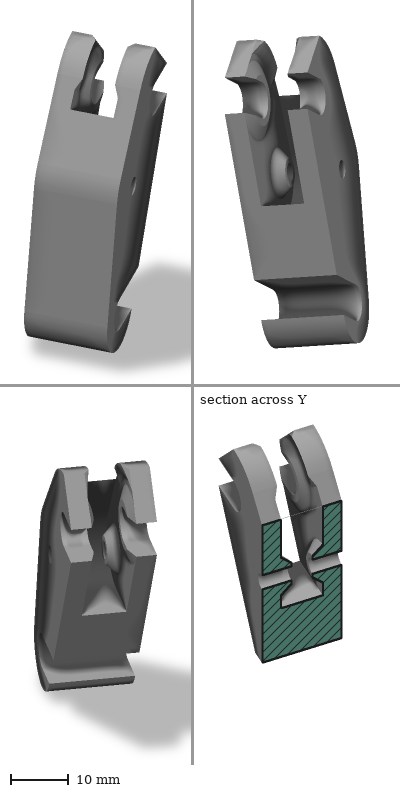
import cadquery as cq
import math

width = 15.2
hook_slot_radius = 3.2

lower_hook = (0, 0)
lower_radius = 7.0
upper_hook = (19.0, 33.0)
upper_radius = 10.75
pin = (7.1, 22.3)
knee_radius = 9.0
pin_hole_radius = 1.65

tip_reach = 6.25
lower_mouth_y = 9.95

pocket_half_width = 3.95
pocket_radius = 7.45
pocket_mouth = (7.15, 35.85)
past_part = 30.5

lip_half_gap = 2.95
lip_inner_radius = 8.15
lip_end_run = 2.2

hook_boss_half_gap = 2.95
hook_boss_top_radius = 4.45
hook_boss_base_radius = 7.0
pin_boss_half_gap = 2.0
pin_boss_top_radius = 2.55
pin_boss_base_radius = 4.5


def on_circle(center, radius, angle):
    return (center[0] + radius * math.cos(angle), center[1] + radius * math.sin(angle))


def tangent_angle(center_a, radius_a, center_b, radius_b):
    """Direction of the shared normal of the outer tangent on the -Y side, from a up to b."""
    dy = center_b[0] - center_a[0]
    dz = center_b[1] - center_a[1]
    lean = math.asin((radius_a - radius_b) / math.hypot(dy, dz))
    return math.atan2(dz, dy) + math.pi / 2 - lean


def prism(profile, half_width):
    return profile.extrude(half_width, both=True)


def body():
    lower_normal = tangent_angle(lower_hook, lower_radius, pin, knee_radius)
    upper_normal = tangent_angle(pin, knee_radius, upper_hook, upper_radius)
    knee_middle = (lower_normal + upper_normal) / 2
    top_angle = math.pi / 2
    hook_tip = on_circle(lower_hook, lower_radius, -math.asin(hook_slot_radius / lower_radius))
    tip_y = upper_hook[0] + tip_reach
    profile = (
        cq.Workplane("YZ")
        .moveTo(*hook_tip)
        .threePointArc(
            on_circle(lower_hook, lower_radius, -math.pi / 2),
            on_circle(lower_hook, lower_radius, lower_normal),
        )
        .lineTo(*on_circle(pin, knee_radius, lower_normal))
        .threePointArc(
            on_circle(pin, knee_radius, knee_middle),
            on_circle(pin, knee_radius, upper_normal),
        )
        .lineTo(*on_circle(upper_hook, upper_radius, upper_normal))
        .threePointArc(
            on_circle(upper_hook, upper_radius, (upper_normal + top_angle) / 2),
            on_circle(upper_hook, upper_radius, top_angle),
        )
        .lineTo(tip_y, upper_hook[1] + hook_slot_radius)
        .lineTo(tip_y, upper_hook[1] - hook_slot_radius)
        .lineTo(lower_mouth_y, hook_slot_radius)
        .lineTo(lower_mouth_y, -hook_slot_radius)
        .close()
    )
    return prism(profile, width / 2)


def hook_slot(center):
    """Round-ended slot open towards +Y."""
    y, z = center
    profile = (
        cq.Workplane("YZ")
        .moveTo(y + past_part, z + hook_slot_radius)
        .lineTo(y, z + hook_slot_radius)
        .threePointArc((y - hook_slot_radius, z), (y, z - hook_slot_radius))
        .lineTo(y + past_part, z - hook_slot_radius)
        .close()
    )
    return prism(profile, width)


def pocket():
    """Central pocket: flat floor, round about the pin, straight up to its mouth."""
    mouth_dy = pocket_mouth[0] - pin[0]
    mouth_dz = pocket_mouth[1] - pin[1]
    mouth_distance = math.hypot(mouth_dy, mouth_dz)
    wall_normal = math.atan2(mouth_dz, mouth_dy) + math.acos(pocket_radius / mouth_distance)
    floor_angle = 3 * math.pi / 2
    profile = (
        cq.Workplane("YZ")
        .moveTo(*pocket_mouth)
        .lineTo(*on_circle(pin, pocket_radius, wall_normal))
        .threePointArc(
            on_circle(pin, pocket_radius, (wall_normal + floor_angle) / 2),
            on_circle(pin, pocket_radius, floor_angle),
        )
        .lineTo(pin[0] + past_part, pin[1] - pocket_radius)
        .lineTo(pin[0] + past_part, pin[1] + past_part)
        .lineTo(pocket_mouth[0], pin[1] + past_part)
        .close()
    )
    return prism(profile, pocket_half_width)


def lip_end(side, angle, base_reach, top_reach):
    """Half space for the lip, ended by a slope that faces along the given YZ direction."""
    return (
        cq.Workplane("XZ")
        .polyline([
            (side * pocket_half_width, base_reach),
            (side * lip_half_gap, top_reach),
            (side * lip_half_gap, -past_part),
            (side * pocket_half_width, -past_part),
        ])
        .close()
        .extrude(past_part, both=True)
        .rotate((0, 0, 0), (1, 0, 0), math.degrees(angle) - 90)
        .translate((0, *upper_hook))
    )


def lip(side):
    """Thicker rim of one cheek: conical inside, with a sloping face at each end."""
    ring = (
        cq.Workplane("XZ")
        .polyline([
            (side * pocket_half_width, lip_inner_radius),
            (side * lip_half_gap, upper_radius),
            (side * lip_half_gap, past_part),
            (side * pocket_half_width, past_part),
        ])
        .close()
        .revolve(360, (0, 0), (1, 0))
        .translate((0, *upper_hook))
    )
    tip_normal = math.atan2(tip_reach, upper_radius - hook_slot_radius)
    tip_distance = upper_radius * math.sin(tip_normal)
    tip_bevel = pocket_half_width - lip_half_gap
    tip_end = lip_end(side, tip_normal, tip_distance, tip_distance - tip_bevel)
    down_front_face = tangent_angle(pin, knee_radius, upper_hook, upper_radius) + math.pi / 2
    lower_end = lip_end(side, down_front_face, lip_end_run, 0)
    return ring.intersect(tip_end).intersect(lower_end)


def boss(center, side, half_gap, base_radius, top_radius):
    """Conical boss standing on one pocket wall and facing the middle."""
    height = pocket_half_width - half_gap
    base = cq.Vector(side * pocket_half_width, *center)
    return cq.Workplane(
        cq.Solid.makeCone(base_radius, top_radius, height, base, cq.Vector(-side, 0, 0))
    )


pocket_cutter = pocket()
for side in (-1, 1):
    pocket_cutter = (
        pocket_cutter
        .cut(lip(side))
        .cut(boss(upper_hook, side, hook_boss_half_gap, hook_boss_base_radius, hook_boss_top_radius))
        .cut(boss(pin, side, pin_boss_half_gap, pin_boss_base_radius, pin_boss_top_radius))
    )

pin_hole = prism(cq.Workplane("YZ").center(*pin).circle(pin_hole_radius), width)

result = (
    body()
    .cut(pocket_cutter)
    .cut(hook_slot(upper_hook))
    .cut(hook_slot(lower_hook))
    .cut(pin_hole)
)